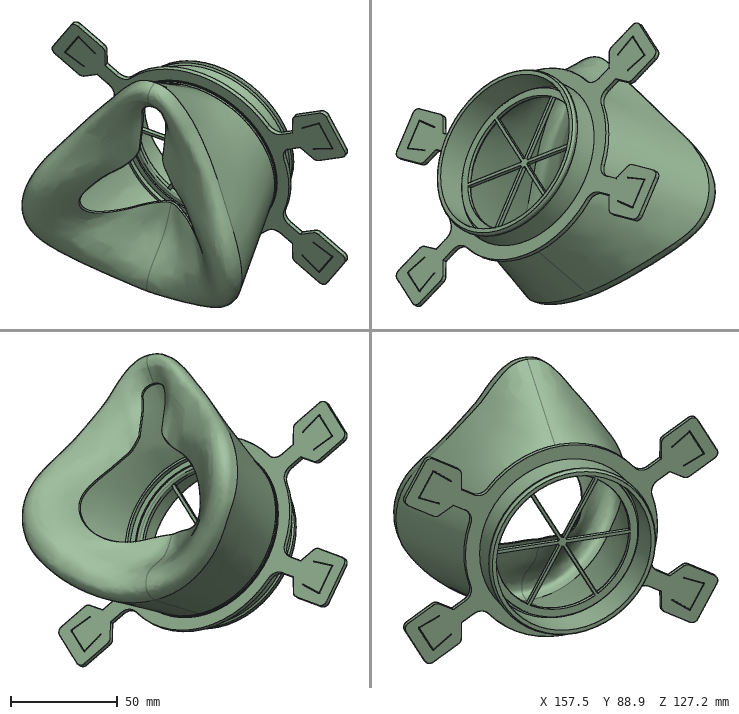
import cadquery as cq
import math


margin = 1.0

tube_radius = 81.9 / 2
tube_front_radius = 41.3
tube_bore_radius = 39.0
bead_radius = 83.5 / 2
bead_rear_radius = 41.0
bead_crest_start = 1.9
bead_crest_end = 2.8
bead_length = 3.7
bead_rounding = 2.4
web_thickness = 2.0
web_bore_radius = 36.8
seat_radius = 34.0
seat_height = 1.8
seat_rounding = 1.0
spoke_count = 6
spoke_width = 1.6
hub_radius = 2.3

plate_rear_depth = 15.6
plate_thickness = 2.2
plate_front_depth = plate_rear_depth + plate_thickness
plate_radius = 48.4
tab_angles = (30, 150, 210, 330)
tab_outer = 84.9
tab_inner = 65.5
tab_half_width = 12.6
tab_corner_radius = 3.0
neck_outer = 60.5
neck_half_width = 4.2
neck_fillet = 6.0
slit_width = 0.3
slit_outer = 78.8
slit_inner = 67.7
slit_outer_half_width = 7.2
slit_inner_half_width = 6.0

base_rear_depth = plate_front_depth
base_front_depth = 20.1
base_radius = 42.2
base_bore_radius = 39.6
base_groove_offset = 0.5
base_groove_width = 0.4
base_groove_depth = 0.3
wall_base_inset = 0.1
wall_base_outer = base_radius - wall_base_inset
wall_base_inner = 40.8
wall_thickness = 1.8
lip_thickness = 1.2

cushion_stations = [
    ((0.0, 74.9), 59.7, 5.0, 66.8, 60.0, 60.5, 30.0, 63.5),
    ((6.3, 73.7), 59.7, 5.0, 66.8, 58.0, 61.0, 30.0, 64.0),
    ((11.6, 70.1), 59.7, 5.0, 67.2, 52.0, 63.0, 28.0, 64.5),
    ((16.8, 64.5), 59.8, 5.5, 67.8, 47.0, 65.0, 26.0, 65.0),
    ((23.9, 55.0), 60.8, 6.0, 68.8, 43.0, 67.5, 24.0, 65.5),
    ((36.5, 38.5), 66.6, 6.0, 73.6, 38.0, 73.5, 21.0, 66.0),
    ((48.6, 21.8), 74.7, 6.0, 82.4, 38.0, 80.0, 21.0, 66.0),
    ((56.0, 7.2), 79.2, 6.0, 88.0, 38.0, 81.0, 21.0, 66.0),
    ((58.0, -6.6), 80.1, 6.0, 88.7, 38.0, 79.0, 21.0, 62.0),
    ((54.3, -20.9), 78.8, 6.0, 85.0, 37.0, 73.5, 19.0, 54.0),
    ((42.9, -34.4), 71.5, 6.0, 78.0, 33.0, 64.5, 15.0, 47.0),
    ((24.0, -45.5), 63.2, 5.0, 70.2, 27.0, 56.0, 8.0, 43.5),
    ((12.3, -49.0), 60.8, 5.0, 68.0, 25.5, 53.0, 6.0, 42.3),
    ((0.0, -50.0), 60.0, 5.0, 67.8, 25.0, 52.2, 6.0, 42.0),
]

slot_half_width = 6.3
slot_top = 60.5
slot_bottom = 33.8
slot_back_depth = 50.0
slot_corner_radius = 5.8
opening_side = [(12.8, 23.6), (21.9, 15.7), (27.2, 9.8), (31.0, 4.2), (32.7, -2.5),
                (29.5, -11.3), (22.0, -14.3), (12.0, -12.6), (0.0, -10.4)]
opening_back_depth = 30.0
front_clearance_depth = 100.0


def ring(inner, outer, rear_depth, front_depth):
    """Plain ring around the breathing axis."""
    return (cq.Workplane("XZ", origin=(0, -rear_depth, 0))
            .circle(outer).circle(inner).extrude(front_depth - rear_depth))


def make_tube():
    """Tapered tube with its rounded bead, revolved around the Y axis."""
    profile = (cq.Workplane("XY")
               .moveTo(tube_bore_radius, 0)
               .lineTo(bead_rear_radius, 0)
               .radiusArc((bead_radius, -bead_crest_start), bead_rounding)
               .lineTo(bead_radius, -bead_crest_end)
               .lineTo(tube_radius, -bead_length)
               .lineTo(tube_front_radius, -plate_rear_depth)
               .lineTo(tube_front_radius, -plate_front_depth)
               .lineTo(tube_bore_radius, -plate_front_depth)
               .close())
    return profile.revolve(360, (0, 0, 0), (0, 1, 0))


def make_spokes(rear_depth):
    """Round hub with spokes reaching into the valve seat."""
    plane = cq.Workplane("XZ", origin=(0, -rear_depth, 0))
    spokes = plane.circle(hub_radius).extrude(web_thickness)
    spoke_length = seat_radius + seat_rounding
    spoke = plane.center(spoke_length / 2, 0).rect(spoke_length, spoke_width).extrude(web_thickness)
    for index in range(spoke_count):
        spokes = spokes.union(spoke.rotate((0, 0, 0), (0, 1, 0), index * 360 / spoke_count))
    return spokes


def make_housing():
    web_rear_depth = plate_front_depth - web_thickness
    web = ring(web_bore_radius, tube_front_radius, web_rear_depth, plate_front_depth)
    seat_rear_depth = web_rear_depth - seat_height
    seat_front_depth = plate_front_depth - seat_height / 2
    seat = (ring(seat_radius, web_bore_radius + seat_rounding, seat_rear_depth, seat_front_depth)
            .faces("<Y").edges().fillet(seat_rounding))
    return make_tube().union(web).union(seat).union(make_spokes(seat_rear_depth))


def side_edges(body, x_min, x_max, half_width):
    """Edges along Y of a plate-thick body, within a window across X and Z."""
    window = cq.selectors.BoxSelector(
        (x_min, -plate_front_depth - margin, -half_width), (x_max, 0, half_width))
    return body.edges("|Y").edges(window)


def make_tab():
    """One strap tab pointing along +X, with its neck reaching into the plate ring."""
    plane = cq.Workplane("XZ", origin=(0, -plate_rear_depth, 0))
    neck_start = (tube_front_radius + plate_radius) / 2
    upper_side = [(neck_start, neck_half_width), (neck_outer, neck_half_width),
                  (tab_inner, tab_half_width), (tab_outer, tab_half_width)]
    lower_side = [(x, -z) for x, z in reversed(upper_side)]
    tab = plane.polyline(upper_side + lower_side).close().extrude(plate_thickness)
    tab = (side_edges(tab, tab_inner - margin, tab_outer + margin, tab_half_width + margin)
           .fillet(tab_corner_radius))
    slit_path = [(slit_inner, slit_inner_half_width), (slit_outer, slit_outer_half_width),
                 (slit_outer, -slit_outer_half_width), (slit_inner, -slit_inner_half_width)]
    slit = plane.polyline(slit_path).offset2D(slit_width / 2).extrude(plate_thickness)
    return tab.cut(slit)


def make_strap_plate():
    plate = ring(tube_front_radius, plate_radius, plate_rear_depth, plate_front_depth)
    tab = make_tab()
    for angle in tab_angles:
        plate = plate.union(tab.rotate((0, 0, 0), (0, 1, 0), -angle))
    reach = plate_radius + margin
    corners = [edge for edge in side_edges(plate, -reach, reach, reach).vals()
               if abs(edge.Center().z) > margin]
    return plate.newObject(corners).fillet(neck_fillet)


def cushion_section(station):
    """Closed profile of the cushion in the half plane through the axis and one crease point."""
    (x, z), crease_depth, crest_inset, crest_depth, lip_r, lip_depth, end_r, end_depth = station
    crease_r = math.hypot(x, z)
    radial = cq.Vector(x / crease_r, 0, z / crease_r)
    forward = cq.Vector(0, -1, 0)

    def point(r, depth):
        return radial * r + forward * depth

    crest_r = crease_r - crest_inset
    end_direction = point(end_r, end_depth) - point(lip_r, lip_depth)
    tangents = [forward, radial * -1, None, end_direction.normalized()]

    def skin(edge_r, drop):
        points = [point(edge_r, crease_depth), point(crest_r, crest_depth - drop),
                  point(lip_r, lip_depth - drop), point(end_r, end_depth - drop)]
        return cq.Edge.makeSpline(points, tangents=tangents)

    inner_crease_r = crease_r - wall_thickness
    outer_skin = skin(crease_r, 0)
    inner_skin = skin(inner_crease_r, lip_thickness)
    outer_base = point(wall_base_outer, base_front_depth)
    inner_base = point(wall_base_inner, base_front_depth)
    edges = [
        cq.Edge.makeLine(outer_base, point(crease_r, crease_depth)),
        outer_skin,
        cq.Edge.makeLine(point(end_r, end_depth), point(end_r, end_depth - lip_thickness)),
        inner_skin,
        cq.Edge.makeLine(point(inner_crease_r, crease_depth), inner_base),
        cq.Edge.makeLine(inner_base, outer_base),
    ]
    return cq.Wire.assembleEdges(edges)


def mirrored(station):
    """The matching station on the -X side."""
    (x, z), *sizes = station
    return ((-x, z), *sizes)


def make_opening():
    """Cutter for the breathing opening in the lip."""
    right = [(slot_half_width, slot_bottom)] + opening_side
    left = [(-x, z) for x, z in reversed(right)]
    heart_plane = cq.Workplane("XZ", origin=(0, -opening_back_depth, 0))
    heart = (heart_plane.moveTo(*right[0]).spline(right[1:], includeCurrent=True)
             .spline(left[1:], includeCurrent=True).close()
             .extrude(front_clearance_depth - opening_back_depth))
    slot = (cq.Workplane("XZ", origin=(0, -slot_back_depth, 0))
            .center(0, slot_top / 2).rect(2 * slot_half_width, slot_top)
            .extrude(front_clearance_depth - slot_back_depth)
            .edges("|Y and >Z").fillet(slot_corner_radius))
    return heart.union(slot)


def make_cushion():
    stations = ([mirrored(cushion_stations[i]) for i in (2, 1)] + cushion_stations
                + [mirrored(cushion_stations[i]) for i in (-2, -3)])
    loft = cq.Workplane(cq.Solid.makeLoft([cushion_section(s) for s in stations]))
    block_size = 2 * front_clearance_depth
    right_side = (cq.Workplane().box(block_size, block_size, block_size)
                  .translate((block_size / 2, 0, 0)))
    half = loft.intersect(right_side).cut(make_opening())
    base = ring(base_bore_radius, base_radius, base_rear_depth, base_front_depth)
    groove_rear = base_rear_depth + base_groove_offset
    groove = ring(base_radius - base_groove_depth, base_radius + margin,
                  groove_rear, groove_rear + base_groove_width)
    return base.cut(groove).union(half).union(half.mirror("YZ"))


housing = make_housing()
strap_plate = make_strap_plate()
cushion = make_cushion()

result = cq.Compound.makeCompound([
    housing.solids().val(), strap_plate.solids().val(), cushion.solids().val()])